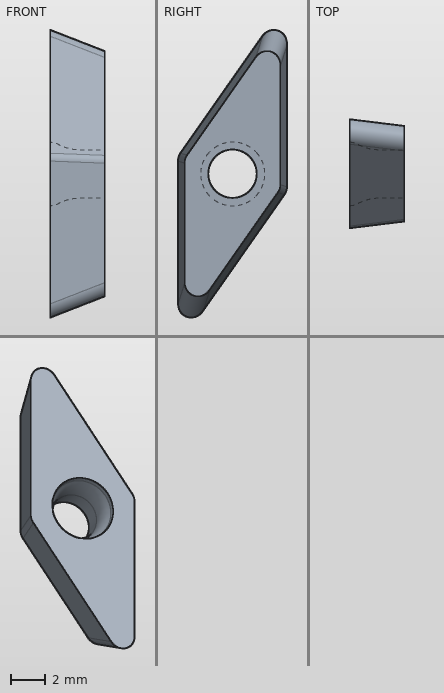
import cadquery as cq
import math

inscribed_diameter = 6.35
thickness = 3.18
acute_angle = 35.0
clearance_angle = 7.0
corner_radius = 0.8

bore_diameter = 2.8
mouth_diameter = 3.72
seat_diameter = 3.6
mouth_depth = 0.32
bore_start = 1.75


def rhombus_corners():
    """Corners (Y, Z) of the large face, which has two sides parallel to Z."""
    half_width = inscribed_diameter / 2
    half_angle = math.radians(acute_angle / 2)
    acute_z = half_width / math.tan(half_angle)
    obtuse_z = half_width * math.tan(half_angle)
    return [
        (half_width, acute_z),
        (half_width, -obtuse_z),
        (-half_width, -acute_z),
        (-half_width, obtuse_z),
    ]


def make_body():
    """Tapered rhombus with its four slanted corner edges rounded."""
    blank = (
        cq.Workplane("YZ")
        .polyline(rhombus_corners())
        .close()
        .extrude(thickness, taper=clearance_angle)
    )
    corner_edges = blank.edges("not(<X or >X)")
    return corner_edges.fillet(corner_radius)


def make_hole():
    """Revolved cutter whose seat arc meets the bore tangentially."""
    bore_radius = bore_diameter / 2
    mouth_radius = mouth_diameter / 2
    seat_radius = seat_diameter / 2
    seat_length = bore_start - mouth_depth
    seat_step = seat_radius - bore_radius
    arc_radius = (seat_length**2 + seat_step**2) / (2 * seat_step)
    half_sweep = math.asin(seat_length / arc_radius) / 2
    arc_middle_x = bore_start - arc_radius * math.sin(half_sweep)
    arc_middle_radius = bore_radius + arc_radius * (1 - math.cos(half_sweep))
    return (
        cq.Workplane("XZ")
        .lineTo(0, -mouth_radius)
        .lineTo(mouth_depth, -seat_radius)
        .threePointArc((arc_middle_x, -arc_middle_radius), (bore_start, -bore_radius))
        .lineTo(thickness, -bore_radius)
        .lineTo(thickness, 0)
        .close()
        .revolve(360, (0, 0, 0), (1, 0, 0))
    )


result = make_body().cut(make_hole())